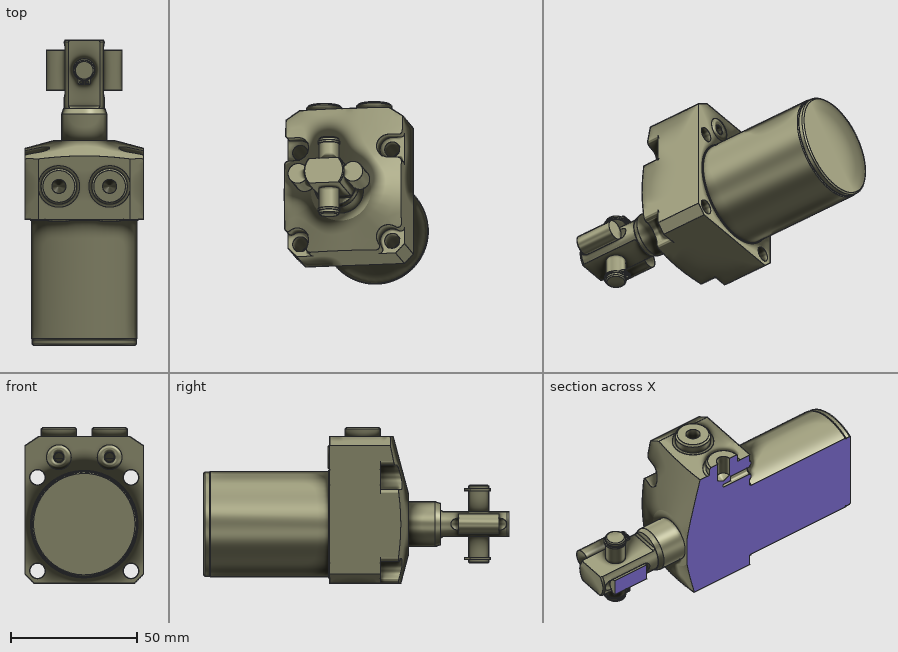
import cadquery as cq
import math


TOTAL_LENGTH = 121.0

BLOCK_HALF_WIDTH = 23.5
BLOCK_BOTTOM = -BLOCK_HALF_WIDTH
BLOCK_TOP = 34.7
BLOCK_LENGTH = 31.2
TOP_CHAMFER_WIDTH = 5.5
TOP_CHAMFER_HEIGHT = 3.6
BOTTOM_CHAMFER = 3.6
CONE_FLAT_RADIUS = 12.1
CONE_ANGLE = 15.0

BARREL_RADIUS = 20.9
BARREL_LENGTH = 47.7
BARREL_EDGE = 0.5
COLLAR_RADIUS = 21.3
COLLAR_LENGTH = 0.5
CAP_RADIUS = 20.7
CAP_LENGTH = 2.3
CAP_CHAMFER = 0.6

BOLT_OFFSET = 18.5
BOLT_HOLE_RADIUS = 3.0
POCKET_RADIUS = 4.8
POCKET_FILLET = 1.5
POCKET_FLOOR = 20.1

PORT_OFFSET = 10.0
PORT_Y = 13.1
PLUG_RADIUS = 7.0
PLUG_HEIGHT = 3.6
PLUG_CHAMFER = 0.7
SPOT_RADIUS = 8.2
SPOT_DEPTH = 0.1
PORT_RADIUS = 2.8
PORT_BOTTOM = 29.5
SHANK_RADIUS = 3.6
SHANK_BOTTOM = 25.9
DRILL_HALF_ANGLE = 59.0
RING_Z = 26.5
RING_MEAN_RADIUS = 3.5
RING_TUBE_RADIUS = 1.7
RING_PROTRUSION = 0.7
FEED_RADIUS = RING_MEAN_RADIUS - RING_TUBE_RADIUS

NECK_RADIUS = 9.0
NECK_CONE_RADIUS = 8.2
NECK_CONE_LENGTH = 2.2
NECK_LENGTH = 12.7
ROD_RADIUS = 8.0
ROD_END = TOTAL_LENGTH - BARREL_LENGTH - CAP_LENGTH
ROD_TAPER_LENGTH = 0.8
ROD_TAPER_DEPTH = 0.4
FLAT_HALF_HEIGHT = 5.0
FLAT_RAMP_LENGTH = 1.0
FLAT_RAMP_RISE = 0.6

PIN_Y = 59.0
PIN_RADIUS = 4.0
PIN_HALF_LENGTH = 15.5
PIN_CHAMFER = 0.5
SNAP_RING_INNER_FACE = 13.2
SNAP_RING_THICKNESS = 0.8
SNAP_RING_RADIUS = 4.4
SNAP_RING_SHIFT = 0.2
EAR_HALF_WIDTH = 2.4
EAR_REACH = 5.7
EAR_ROUND = 0.7
EAR_GAP = 0.5
EAR_HOLE_OFFSET = 1.2
EAR_HOLE_DISTANCE = 4.7
EAR_HOLE_RADIUS = 0.6

SIDE_PIN_OFFSET = 11.0
SIDE_PIN_RADIUS = PIN_RADIUS
SIDE_PIN_LENGTH = 16.0
GROOVE_RADIUS = 4.1
GROOVE_LENGTH = 16.5

SIDES = (-1, 1)
NECK_END = BLOCK_LENGTH + NECK_LENGTH
CAP_END = -BARREL_LENGTH - CAP_LENGTH


def section_at(y):
    """Sketch plane across the cylinder axis, with X to the right and Z up, extruding toward -Y."""
    return cq.Workplane("XZ", origin=(0, y, 0))


def turned(profile):
    """Solid of revolution about the Y axis from (radius, y) points."""
    return cq.Workplane("XY").polyline(profile).close().revolve(360, (0, 0), (0, 1))



def block():
    w = BLOCK_HALF_WIDTH
    top_edge = w - TOP_CHAMFER_WIDTH
    top_corner = BLOCK_TOP - TOP_CHAMFER_HEIGHT
    bottom_edge = w - BOTTOM_CHAMFER
    bottom_corner = BLOCK_BOTTOM + BOTTOM_CHAMFER
    prism = (
        section_at(BLOCK_LENGTH)
        .polyline([
            (-bottom_edge, BLOCK_BOTTOM), (bottom_edge, BLOCK_BOTTOM),
            (w, bottom_corner), (w, top_corner),
            (top_edge, BLOCK_TOP), (-top_edge, BLOCK_TOP),
            (-w, top_corner), (-w, bottom_corner),
        ])
        .close()
        .extrude(BLOCK_LENGTH)
    )
    reach = 2 * BLOCK_TOP
    cone_drop = (reach - CONE_FLAT_RADIUS) * math.tan(math.radians(CONE_ANGLE))
    cone = turned([
        (0, -cone_drop), (reach, -cone_drop),
        (reach, BLOCK_LENGTH - cone_drop), (CONE_FLAT_RADIUS, BLOCK_LENGTH), (0, BLOCK_LENGTH),
    ])
    return prism.intersect(cone)


def barrel():
    return turned([
        (0, 0), (COLLAR_RADIUS, 0), (COLLAR_RADIUS, -COLLAR_LENGTH), (BARREL_RADIUS, -COLLAR_LENGTH),
        (BARREL_RADIUS, BARREL_EDGE - BARREL_LENGTH), (BARREL_RADIUS - BARREL_EDGE, -BARREL_LENGTH),
        (CAP_RADIUS, -BARREL_LENGTH), (CAP_RADIUS, CAP_END + CAP_CHAMFER),
        (CAP_RADIUS - CAP_CHAMFER, CAP_END), (0, CAP_END),
    ])


def bolt_holes():
    corners = [(x * BOLT_OFFSET, z * BOLT_OFFSET) for x in SIDES for z in SIDES]
    return section_at(BLOCK_LENGTH).pushPoints(corners).circle(BOLT_HOLE_RADIUS).extrude(BLOCK_LENGTH)


def extrude_pocket(outline):
    return outline.close().extrude(BLOCK_LENGTH - POCKET_FLOOR)


def upper_pocket(side):
    """Round-ended slot that opens through the side face with rounded edges."""
    outside = 2 * BLOCK_HALF_WIDTH
    fillet_start = BLOCK_HALF_WIDTH - POCKET_FILLET
    mouth = POCKET_RADIUS + POCKET_FILLET
    diagonal = POCKET_FILLET * math.sqrt(0.5)
    arc_x = fillet_start + diagonal
    arc_z = mouth - diagonal
    z = BOLT_OFFSET
    outline = (
        section_at(BLOCK_LENGTH)
        .moveTo(side * outside, z + mouth)
        .lineTo(side * BLOCK_HALF_WIDTH, z + mouth)
        .threePointArc((side * arc_x, z + arc_z), (side * fillet_start, z + POCKET_RADIUS))
        .lineTo(side * BOLT_OFFSET, z + POCKET_RADIUS)
        .threePointArc(
            (side * (BOLT_OFFSET - POCKET_RADIUS), z), (side * BOLT_OFFSET, z - POCKET_RADIUS)
        )
        .lineTo(side * fillet_start, z - POCKET_RADIUS)
        .threePointArc((side * arc_x, z - arc_z), (side * BLOCK_HALF_WIDTH, z - mouth))
        .lineTo(side * outside, z - mouth)
    )
    return extrude_pocket(outline)


def lower_pocket(side):
    """Round pocket open at the bottom corner, rounded into the side face and the bottom face."""
    outside = 2 * BLOCK_HALF_WIDTH
    out = BLOCK_HALF_WIDTH - POCKET_FILLET - BOLT_OFFSET
    spacing = POCKET_RADIUS + POCKET_FILLET
    up = math.sqrt(spacing**2 - out**2)
    touch_out = out * POCKET_RADIUS / spacing
    touch_up = up * POCKET_RADIUS / spacing
    middle_angle = math.atan2(up, -out) / 2
    arc_out = out + POCKET_FILLET * math.cos(middle_angle)
    arc_up = up - POCKET_FILLET * math.sin(middle_angle)
    inner = POCKET_RADIUS * math.sqrt(0.5)
    edge = out + POCKET_FILLET
    far = outside - BOLT_OFFSET

    def place(toward_side, toward_bottom):
        return side * (BOLT_OFFSET + toward_side), -BOLT_OFFSET - toward_bottom

    outline = (
        section_at(BLOCK_LENGTH)
        .moveTo(*place(far, -up))
        .lineTo(*place(edge, -up))
        .threePointArc(place(arc_out, -arc_up), place(touch_out, -touch_up))
        .threePointArc(place(-inner, -inner), place(-touch_up, touch_out))
        .threePointArc(place(-arc_up, arc_out), place(-up, edge))
        .lineTo(*place(-up, far))
        .lineTo(*place(far, far))
    )
    return extrude_pocket(outline)


def plug(side):
    return (
        cq.Workplane("XY", origin=(side * PORT_OFFSET, PORT_Y, BLOCK_TOP - SPOT_DEPTH))
        .circle(PLUG_RADIUS)
        .extrude(PLUG_HEIGHT + SPOT_DEPTH)
        .faces(">Z")
        .chamfer(PLUG_CHAMFER)
    )


def spot_face(side):
    return (
        cq.Workplane("XY", origin=(side * PORT_OFFSET, PORT_Y, BLOCK_TOP - SPOT_DEPTH))
        .circle(SPOT_RADIUS)
        .extrude(SPOT_DEPTH)
    )


def port_hole(side):
    """Drilled hole down through the plug, with a conical bottom."""
    tip = PORT_BOTTOM - PORT_RADIUS / math.tan(math.radians(DRILL_HALF_ANGLE))
    top = BLOCK_TOP + PLUG_HEIGHT
    return (
        cq.Workplane("XZ")
        .polyline([(0, tip), (PORT_RADIUS, PORT_BOTTOM), (PORT_RADIUS, top), (0, top)])
        .close()
        .revolve(360, (0, 0), (0, 1))
        .translate((side * PORT_OFFSET, PORT_Y, 0))
    )


def feed_hole(side):
    """Hole in the front face that runs beneath the plug, whose round shank crosses its upper part."""
    hole = section_at(PORT_Y).center(side * PORT_OFFSET, RING_Z).circle(FEED_RADIUS).extrude(PORT_Y)
    shank = (
        cq.Workplane("XY", origin=(side * PORT_OFFSET, PORT_Y, SHANK_BOTTOM))
        .circle(SHANK_RADIUS)
        .extrude(BLOCK_TOP - SHANK_BOTTOM)
    )
    return hole.cut(shank)


def sealing_ring(side):
    centre = cq.Vector(side * PORT_OFFSET, RING_TUBE_RADIUS - RING_PROTRUSION, RING_Z)
    return cq.Workplane(
        cq.Solid.makeTorus(RING_MEAN_RADIUS, RING_TUBE_RADIUS, centre, cq.Vector(0, 1, 0))
    )


def make_housing():
    body = block().union(barrel()).cut(bolt_holes())
    for side in SIDES:
        body = body.cut(upper_pocket(side)).cut(lower_pocket(side))
        body = body.cut(spot_face(side)).union(plug(side))
        body = body.cut(port_hole(side)).cut(feed_hole(side)).union(sealing_ring(side))
    return body



def flat_cut():
    """Material removed above the upper flat, ending in a short ramp at the neck."""
    return (
        cq.Workplane("YZ")
        .polyline([
            (NECK_END, FLAT_HALF_HEIGHT + FLAT_RAMP_RISE),
            (NECK_END + FLAT_RAMP_LENGTH, FLAT_HALF_HEIGHT),
            (ROD_END, FLAT_HALF_HEIGHT),
            (ROD_END, ROD_RADIUS),
            (NECK_END, ROD_RADIUS),
        ])
        .close()
        .extrude(ROD_RADIUS, both=True)
    )


def side_groove(side):
    """Round groove with spherical ends that clears a side pin."""
    start = PIN_Y - GROOVE_LENGTH / 2
    end = PIN_Y + GROOVE_LENGTH / 2
    groove = section_at(end).circle(GROOVE_RADIUS).extrude(GROOVE_LENGTH)
    for y in (start, end):
        groove = groove.union(cq.Workplane("XY").sphere(GROOVE_RADIUS).translate((0, y, 0)))
    return groove.translate((side * SIDE_PIN_OFFSET, 0, 0))


def make_rod():
    rod = turned([
        (0, BLOCK_LENGTH), (NECK_RADIUS, BLOCK_LENGTH), (NECK_RADIUS, NECK_END - NECK_CONE_LENGTH),
        (NECK_CONE_RADIUS, NECK_END), (ROD_RADIUS, NECK_END), (ROD_RADIUS, ROD_END - ROD_TAPER_LENGTH),
        (ROD_RADIUS - ROD_TAPER_DEPTH, ROD_END), (0, ROD_END),
    ])
    upper_cut = flat_cut()
    rod = rod.cut(upper_cut).cut(upper_cut.mirror("XY"))
    for side in SIDES:
        rod = rod.cut(side_groove(side))
    pin_hole = (
        cq.Workplane("XY").center(0, PIN_Y).circle(PIN_RADIUS).extrude(PIN_HALF_LENGTH, both=True)
    )
    return rod.cut(pin_hole)



def snap_ring():
    """Open ring with two ears toward the block, lying near the upper end of the pin."""
    sheet = cq.Workplane("XY", origin=(0, PIN_Y, SNAP_RING_INNER_FACE))
    ears = (
        sheet.center(0, -EAR_REACH / 2)
        .rect(2 * EAR_HALF_WIDTH, EAR_REACH)
        .extrude(SNAP_RING_THICKNESS)
        .edges("|Z and <Y")
        .fillet(EAR_ROUND)
    )
    ring = sheet.center(0, SNAP_RING_SHIFT).circle(SNAP_RING_RADIUS).extrude(SNAP_RING_THICKNESS)
    gap = sheet.center(0, -EAR_REACH / 2).rect(EAR_GAP, EAR_REACH).extrude(SNAP_RING_THICKNESS)
    ear_holes = (
        sheet.pushPoints([(side * EAR_HOLE_OFFSET, -EAR_HOLE_DISTANCE) for side in SIDES])
        .circle(EAR_HOLE_RADIUS)
        .extrude(SNAP_RING_THICKNESS)
    )
    return ring.union(ears).cut(gap).cut(ear_holes)


def make_pivot_pin():
    pin = (
        cq.Workplane("XY")
        .center(0, PIN_Y)
        .circle(PIN_RADIUS)
        .extrude(PIN_HALF_LENGTH, both=True)
        .faces("<Z or >Z")
        .chamfer(PIN_CHAMFER)
    )
    upper_ring = snap_ring()
    return pin.union(upper_ring).union(upper_ring.mirror("XY"))



def make_side_pin(side):
    return (
        section_at(PIN_Y + SIDE_PIN_LENGTH / 2)
        .center(side * SIDE_PIN_OFFSET, 0)
        .circle(SIDE_PIN_RADIUS)
        .extrude(SIDE_PIN_LENGTH)
    )


housing = make_housing()
piston_rod = make_rod()
pivot_pin = make_pivot_pin()
side_pins = [make_side_pin(side) for side in SIDES]

result = cq.Compound.makeCompound(
    [housing.val(), piston_rod.val(), pivot_pin.val(), *[pin.val() for pin in side_pins]]
)